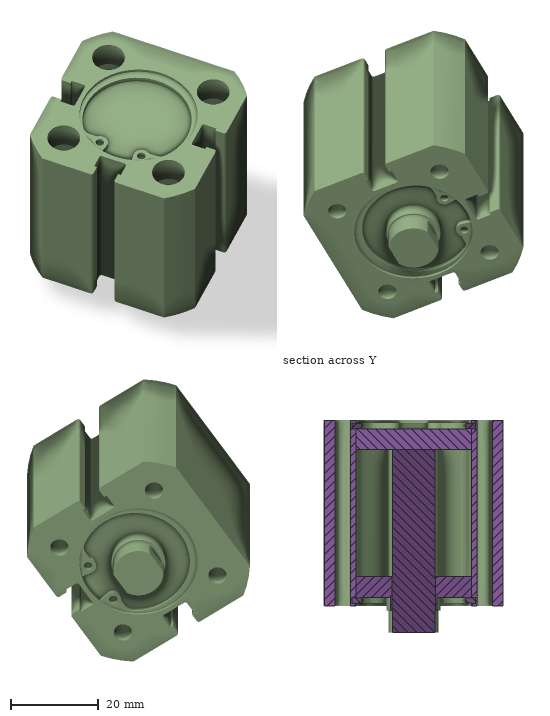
import cadquery as cq
import math

width = 41.0
overall_height = 48.5
rod_protrusion = 6.0
housing_height = overall_height - rod_protrusion
corner_radius = 25.45
half_width = width / 2
bore_radius = 13.5

screw_offset = 13.0
screw_radius = 2.1
counterbore_radius = 3.75
counterbore_depth = 6.8

slot_mouth = 5.25
slot_inner_width = 6.6
slot_floor = 14.5
lip_depth = 2.5
mouth_fillet = 0.6
floor_fillet = 0.5
slot_angles = (-90, 0, 90)

ring_setback = 0.75
ring_thickness = 1.2
ring_outer_radius = 14.3
ring_inner_radius = 12.45
ring_inner_drop = 0.85
lug_x = 5.15
lug_y = -10.4
lug_radius = 1.85
lug_hole_radius = 0.95
shoulder_y = -9.0
shoulder_fillet = 2.42
lug_root_fillet = 0.95
gap_slant = math.radians(10)

cover_thickness = 4.85
boss_radius = 6.15
boss_protrusion = 1.05
end_chamfer = 0.1
rod_radius = 5.745
flat_width = 9.95
flat_top = -1.95

upper_ring_z = housing_height - ring_setback - ring_thickness
head_cover_z = upper_ring_z - cover_thickness
rod_cover_z = ring_setback + ring_thickness


def disc(radius, height, base_z):
    return cq.Workplane("XY").workplane(offset=base_z).circle(radius).extrude(height)


def slot_cutter():
    """T-slot opening on the -Y side."""
    depth = half_width - slot_floor
    inner_depth = depth - lip_depth
    inner = (
        cq.Workplane("XY")
        .center(0, -slot_floor - inner_depth / 2)
        .rect(slot_inner_width, inner_depth)
        .extrude(housing_height)
        .edges("|Z and >Y").fillet(floor_fillet)
    )
    mouth = (
        cq.Workplane("XY")
        .center(0, -half_width + lip_depth / 2)
        .rect(slot_mouth, lip_depth)
        .extrude(housing_height)
    )
    return inner.union(mouth)


def make_housing():
    """Slotted profile with a through bore, two ring grooves and four screw holes."""
    body = cq.Workplane("XY").rect(width, width).extrude(housing_height)
    body = body.intersect(disc(corner_radius, housing_height, 0))

    for angle in slot_angles:
        body = body.cut(slot_cutter().rotate((0, 0, 0), (0, 0, 1), angle))

    mouth_edge = slot_mouth / 2
    mid_height = housing_height / 2
    for x, y in (
        (-mouth_edge, -half_width), (mouth_edge, -half_width),
        (-half_width, -mouth_edge), (-half_width, mouth_edge),
        (half_width, -mouth_edge), (half_width, mouth_edge),
    ):
        mouth_corner = cq.selectors.NearestToPointSelector((x, y, mid_height))
        body = body.edges(mouth_corner).fillet(mouth_fillet)

    body = body.cut(disc(bore_radius, housing_height, 0))
    for ring_z in (ring_setback, upper_ring_z):
        body = body.cut(disc(ring_outer_radius, ring_thickness, ring_z))

    screw_spacing = 2 * screw_offset
    return (
        body.faces(">Z").workplane(origin=(0, 0, housing_height))
        .rect(screw_spacing, screw_spacing, forConstruction=True).vertices()
        .cboreHole(2 * screw_radius, 2 * counterbore_radius, counterbore_depth)
    )


def make_retaining_ring(base_z):
    """Internal retaining ring, open on the -Y side, with two drilled lugs."""
    opening = (
        disc(ring_inner_radius, ring_thickness, base_z)
        .translate((0, -ring_inner_drop, 0))
    )
    below_shoulder = (
        cq.Workplane("XY").workplane(offset=base_z)
        .center(0, shoulder_y - ring_outer_radius / 2)
        .rect(2 * ring_outer_radius, ring_outer_radius)
        .extrude(ring_thickness)
    )
    opening = opening.cut(below_shoulder).edges("|Z").fillet(shoulder_fillet)

    tangent_x = lug_x - lug_radius * math.cos(gap_slant)
    tangent_y = lug_y - lug_radius * math.sin(gap_slant)
    rim_y = -ring_outer_radius
    rim_x = tangent_x + (tangent_y - rim_y) * math.tan(gap_slant)
    gap = (
        cq.Workplane("XY").workplane(offset=base_z)
        .polyline([
            (-rim_x, rim_y), (-tangent_x, tangent_y), (-lug_x, lug_y), (-lug_x, shoulder_y),
            (lug_x, shoulder_y), (lug_x, lug_y), (tangent_x, tangent_y), (rim_x, rim_y),
        ])
        .close().extrude(ring_thickness)
    )

    lug_centers = [(-lug_x, lug_y), (lug_x, lug_y)]
    level = cq.Workplane("XY").workplane(offset=base_z).pushPoints(lug_centers)
    lugs = level.circle(lug_radius).extrude(ring_thickness)
    lug_holes = level.circle(lug_hole_radius).extrude(ring_thickness)
    ring = disc(ring_outer_radius, ring_thickness, base_z).cut(opening).cut(gap)
    ring = ring.union(lugs).cut(lug_holes)

    lug_rise = shoulder_y - lug_y
    root_x = lug_x + math.sqrt(lug_radius**2 - lug_rise**2)
    mid_z = base_z + ring_thickness / 2
    for x in (-root_x, root_x):
        root = cq.selectors.NearestToPointSelector((x, shoulder_y, mid_z))
        ring = ring.edges(root).fillet(lug_root_fillet)
    return ring


def make_head_cover():
    """Plain disc that closes the bore under the upper ring."""
    return disc(bore_radius, cover_thickness, head_cover_z)


def make_rod_cover():
    """Rod guide whose boss passes through the lower ring and out of the bore."""
    boss = disc(boss_radius, rod_cover_z + boss_protrusion, -boss_protrusion)
    boss = boss.faces("<Z").chamfer(end_chamfer)
    cover = disc(bore_radius, cover_thickness, rod_cover_z).union(boss)
    return cover.cut(disc(rod_radius, overall_height, -rod_protrusion))


def make_rod():
    """Piston rod with two wrench flats that run out at 45 degrees."""
    rod = disc(rod_radius, head_cover_z + rod_protrusion, -rod_protrusion)
    rod = rod.faces("<Z").chamfer(end_chamfer)
    flat_y = flat_width / 2
    runout = rod_radius - flat_y
    flat_cutter = (
        cq.Workplane("YZ")
        .polyline([
            (flat_y, -rod_protrusion), (flat_y, flat_top),
            (rod_radius, flat_top + runout), (rod_radius, -rod_protrusion),
        ])
        .close().extrude(rod_radius, both=True)
    )
    return rod.cut(flat_cutter).cut(flat_cutter.mirror("XZ"))


housing = make_housing()
retaining_rings = [make_retaining_ring(z) for z in (ring_setback, upper_ring_z)]
head_cover = make_head_cover()
rod_cover = make_rod_cover()
rod = make_rod()

result = cq.Compound.makeCompound([
    housing.val(),
    *[ring.val() for ring in retaining_rings],
    head_cover.val(),
    rod_cover.val(),
    rod.val(),
])